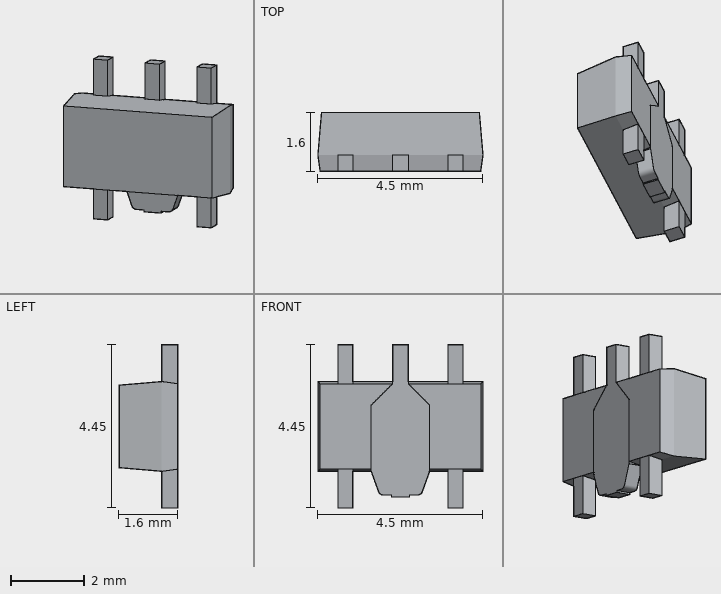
import cadquery as cq

HOUSING_WIDTH = 4.5
HOUSING_HEIGHT = 2.45
TOTAL_DEPTH = 1.6
FRONT_DEPTH = 0.44
BACK_DEPTH = TOTAL_DEPTH - FRONT_DEPTH
FRONT_INSET = 0.065
BACK_INSET = 0.1

METAL_THICKNESS = FRONT_DEPTH
LEAD_SPAN = 4.45
LEAD_WIDTH = 0.415
LEAD_OFFSET_X = 1.5

NECK_WIDTH = 0.428
PAD_WIDTH = 1.595
SHOULDER_TOP_Z = HOUSING_HEIGHT / 2 - FRONT_INSET
SHOULDER_DROP = (PAD_WIDTH - NECK_WIDTH) / 2
TAIL_END_Z = -1.87
TAIL_END_WIDTH = 1.125
TAIL_CORNER_RADIUS = 0.15
NUB_WIDTH = 0.495
NUB_LENGTH = 0.05


def extrude_metal(sketch):
    """Extrude an XZ outline from the parting plane to the front face."""
    return sketch.extrude(METAL_THICKNESS)


def make_housing_half(depth, inset, normal_y):
    """Frustum from the parting plane to a smaller end face, in the direction normal_y."""
    plane = cq.Plane(origin=(0, 0, 0), xDir=(1, 0, 0), normal=(0, normal_y, 0))
    return (
        cq.Workplane(plane)
        .rect(HOUSING_WIDTH, HOUSING_HEIGHT)
        .workplane(offset=depth)
        .rect(HOUSING_WIDTH - 2 * inset, HOUSING_HEIGHT - 2 * inset)
        .loft(ruled=True)
    )


def make_molded_block():
    """Housing before the tab recess is cut."""
    front = make_housing_half(FRONT_DEPTH, FRONT_INSET, -1)
    back = make_housing_half(BACK_DEPTH, BACK_INSET, 1)
    return front.union(back)


def make_tab():
    """Center tab, running through the housing from the top lead to the tail."""
    right_side = [
        (NECK_WIDTH / 2, LEAD_SPAN / 2),
        (NECK_WIDTH / 2, SHOULDER_TOP_Z),
        (PAD_WIDTH / 2, SHOULDER_TOP_Z - SHOULDER_DROP),
        (PAD_WIDTH / 2, -HOUSING_HEIGHT / 2),
        (TAIL_END_WIDTH / 2, TAIL_END_Z),
    ]
    left_side = [(-x, z) for x, z in reversed(right_side)]
    plate = extrude_metal(cq.Workplane("XZ").polyline(right_side + left_side).close())

    tail_corners = cq.selectors.BoxSelector(
        (-PAD_WIDTH, -2 * METAL_THICKNESS, TAIL_END_Z - NUB_LENGTH),
        (PAD_WIDTH, METAL_THICKNESS, TAIL_END_Z + NUB_LENGTH),
    )
    plate = plate.edges("|Y").edges(tail_corners).fillet(TAIL_CORNER_RADIUS)

    nub = extrude_metal(
        cq.Workplane("XZ").center(0, TAIL_END_Z - NUB_LENGTH / 2).rect(NUB_WIDTH, NUB_LENGTH)
    )
    return plate.union(nub)


def make_lead(side_x, side_z, block):
    """Straight corner lead whose inner end bears on the sloping side of the housing."""
    inner_z = HOUSING_HEIGHT / 2 - FRONT_INSET
    length = LEAD_SPAN / 2 - inner_z
    bar = extrude_metal(
        cq.Workplane("XZ")
        .center(side_x * LEAD_OFFSET_X, side_z * (inner_z + length / 2))
        .rect(LEAD_WIDTH, length)
    )
    return bar.cut(block)


molded_block = make_molded_block()
tab = make_tab()
housing = molded_block.cut(tab)
leads = [make_lead(side_x, side_z, molded_block) for side_x in (-1, 1) for side_z in (-1, 1)]

result = cq.Compound.makeCompound([housing.val(), tab.val(), *[lead.val() for lead in leads]])